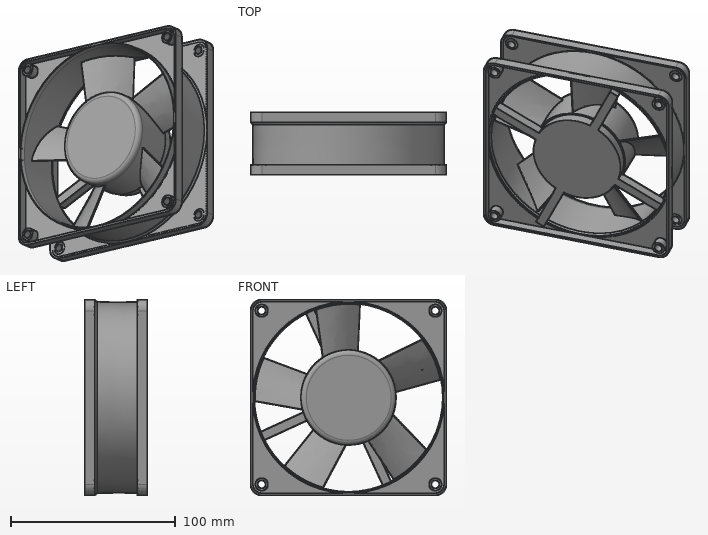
import cadquery as cq
import math


side = 118.9
depth = 38.2
corner_radius = 6.9
flange_thickness = 6.2
flange_floor = 0.7
wall = 1.4
pocket_side = side - 2 * wall
pocket_depth = flange_thickness - flange_floor
front_y = -depth / 2
back_y = depth / 2
front_flange_back = front_y + flange_thickness
back_flange_front = back_y - flange_thickness

hole_spacing = 105.3
hole_diameter = 4.8
boss_diameter = 7.6

duct_bore = 114.4
duct_outer = 116.4
duct_wall = (duct_outer - duct_bore) / 2
flare_length = 1.4
flare_start = back_flange_front - flare_length
inlet_mouth = 115.8
inlet_outer = 116.3
inlet_length = 2.4

mount_diameter = 55.9
strut_count = 4
strut_width = 5.6
strut_depth = 6.3
strut_angle = 24.7
strut_offset = 0.6

hub_diameter = 57.8
hub_front = -15.3
hub_back = flare_start
hub_fillet = 3.1

blade_count = 5
blade_angle = 8.0
blade_thickness = 0.8
blade_tip_diameter = 113.6
blade_root_height = 23.8
blade_end_height = 59.4
leading_x = -11.9
leading_y = -9.3
root_trailing_x = 9.0
end_trailing_x = 15.7
trailing_y = 9.6
camber = 2.4


def revolved(points):
    """Turn an outline of (radius, y) points around the Y axis."""
    return cq.Workplane("XY").polyline(points).close().revolve(360, (0, 0), (0, 1))


def cylinder(diameter, start_y, end_y):
    return revolved([(0, start_y), (diameter / 2, start_y), (diameter / 2, end_y), (0, end_y)])


def square_plate(width, radius, start_y, end_y):
    """Square plate with rounded corners, centred on the Y axis."""
    plate = cq.Workplane("XY").box(width, end_y - start_y, width)
    return plate.edges("|Y").fillet(radius).translate((0, (start_y + end_y) / 2, 0))


def corner_cylinders(diameter, start_y, end_y):
    post = cylinder(diameter, start_y, end_y)
    half = hole_spacing / 2
    posts = cq.Workplane("XY")
    for x in (-half, half):
        for z in (-half, half):
            posts = posts.add(post.translate((x, 0, z)))
    return posts.combine()


def make_flange(start_y, end_y, pocket_start, pocket_end):
    """Square plate with a pocket that leaves an outer wall, a thin floor and four bosses."""
    flange = square_plate(side, corner_radius, start_y, end_y)
    pocket = square_plate(pocket_side, corner_radius - wall, pocket_start, pocket_end)
    return flange.cut(pocket).union(corner_cylinders(boss_diameter, start_y, end_y))


def make_duct():
    """Return the slightly tapered outside of the duct and the air path to cut through it."""
    bore = duct_bore / 2
    outer = duct_outer / 2
    outlet = pocket_side / 2
    tube = revolved([
        (0, front_y),
        (inlet_outer / 2, front_y),
        (outer, flare_start),
        (outer + duct_wall, back_flange_front),
        (0, back_flange_front),
    ])
    air_path = revolved([
        (0, front_y),
        (inlet_mouth / 2, front_y),
        (bore, front_y + inlet_length),
        (bore, flare_start),
        (outlet, back_flange_front),
        (outlet, back_y),
        (0, back_y),
    ])
    return tube, air_path


def make_strut(angle):
    length = side / 2
    strut = cq.Workplane("XY").box(length, strut_depth, strut_width)
    strut = strut.translate((length / 2, flare_start + strut_depth / 2, -strut_offset))
    return strut.rotate((0, 0, 0), (0, 1, 0), -angle)


def make_motor_mount():
    """Disc on radial struts, trimmed to the width of the outlet."""
    mount_back = flare_start + strut_depth
    mount = cylinder(mount_diameter, flare_start, mount_back)
    for i in range(strut_count):
        mount = mount.union(make_strut(strut_angle + i * 360 / strut_count))
    return mount.intersect(cylinder(duct_outer, flare_start, mount_back))


def make_frame():
    tube, air_path = make_duct()
    front_flange = make_flange(front_y, front_flange_back, front_y, front_y + pocket_depth)
    back_flange = make_flange(back_flange_front, back_y, back_y - pocket_depth, back_y)
    frame = front_flange.union(back_flange).union(tube).cut(air_path)
    frame = frame.cut(corner_cylinders(hole_diameter, front_y, back_y))
    return frame.union(make_motor_mount())


def blade_section(sheet, trailing_x):
    """Draw a thin cambered profile from the leading edge to the trailing edge."""
    chord_x = trailing_x - leading_x
    chord_y = trailing_y - leading_y
    chord = math.hypot(chord_x, chord_y)
    normal_x = chord_y / chord
    normal_y = -chord_x / chord

    turn = 2 * math.atan(2 * camber / chord)
    slope = math.atan2(chord_y, chord_x)
    lead_normal = slope - turn - math.pi / 2
    trail_normal = slope + turn - math.pi / 2

    def offset(x, y, direction, distance):
        return (x + distance * math.cos(direction), y + distance * math.sin(direction))

    def middle(distance):
        bulge = camber + distance
        x = (leading_x + trailing_x) / 2 + bulge * normal_x
        y = (leading_y + trailing_y) / 2 + bulge * normal_y
        return (x, y)

    return (
        sheet.moveTo(leading_x, leading_y)
        .threePointArc(middle(0), (trailing_x, trailing_y))
        .lineTo(*offset(trailing_x, trailing_y, trail_normal, -blade_thickness))
        .threePointArc(
            middle(-blade_thickness),
            offset(leading_x, leading_y, lead_normal, -blade_thickness),
        )
        .close()
    )


def make_blade(angle):
    root = blade_section(cq.Workplane("XY").workplane(offset=blade_root_height), root_trailing_x)
    span = blade_end_height - blade_root_height
    blade = blade_section(root.workplane(offset=span), end_trailing_x).loft(ruled=True)
    return blade.rotate((0, 0, 0), (0, 1, 0), -angle)


def make_rotor():
    """Rounded hub with blades trimmed to the tip diameter."""
    rotor = cylinder(hub_diameter, hub_front, hub_back).faces("<Y").edges().fillet(hub_fillet)
    for i in range(blade_count):
        blade = make_blade(blade_angle + i * 360 / blade_count)
        rotor = rotor.union(blade.intersect(cylinder(blade_tip_diameter, hub_front, hub_back)))
    return rotor


frame = make_frame()
rotor = make_rotor()

result = cq.Compound.makeCompound([frame.solids().val(), rotor.solids().val()])